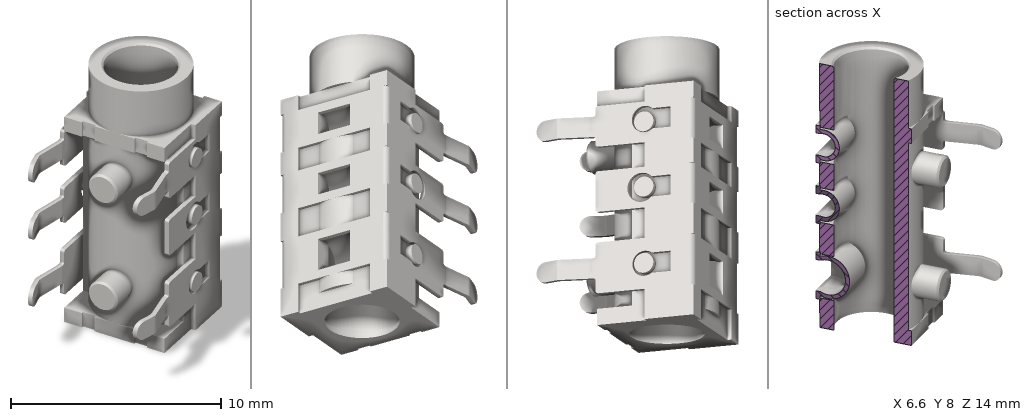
import cadquery as cq
import math

housing_width = 6.0
housing_depth = 5.0
total_height = 14
barrel_height = 2.5
box_height = total_height - barrel_height
barrel_radius = housing_depth / 2
bore_radius = 1.79
bore_chamfer = 0.1
flange_thickness = 0.8
pocket_rear_y = -0.71
front_groove_inner = 1.1
front_groove_width = 0.69
front_groove_depth = 0.11
rear_notch_width = 4.06
rear_notch_depth = 0.2

peg_radius = 0.8
peg_length = 1.3
peg_x = 0.1
peg_heights = (3.0, 9.0)
peg_chamfer = 0.1

stud_radius = 0.49
stud_projection = 0.1

sheet = 0.24
bend_radius = sheet
shoulder_radius = 0.14
leg_root_radius = 0.1
leg_width = 1.0
leg_length = 3.0
leg_bulge = 0.3
leg_straight = 0.22
leg_elbow = 1.72
leg_elbow_flat = 0.13
window_rear_y = 1.32
spring_width = 1.8
spring_margin = 0.2
slot_clearance = 0.1

contacts_data = (
    dict(
        z=2.75, height=2.5, right_leg=True,
        window_rise=0.0, hole_y=0.0, hole_radius=0.62, spring_y=0.73,
    ),
    dict(
        z=6.5, height=2.0, right_leg=False,
        window_rise=0.0, hole_y=-0.15, hole_radius=0.71, spring_y=1.26,
    ),
    dict(
        z=9.7, height=2.0, right_leg=True,
        window_rise=0.14, hole_y=0.0, hole_radius=0.65, spring_y=1.26,
    ),
)

half_width = housing_width / 2
half_depth = housing_depth / 2
inner_half_width = half_width - sheet
strap_inner_y = half_depth - sheet


def block(x_range, y_range, z_range):
    """Box between two limits on each axis."""
    limits = (x_range, y_range, z_range)
    size = [high - low for low, high in limits]
    corner = [low for low, high in limits]
    return cq.Workplane("XY").box(*size, centered=False).translate(tuple(corner))


def rod_along_x(radius, y, z, x_start, x_end):
    """Round rod parallel to X."""
    return cq.Workplane("YZ", origin=(x_start, y, z)).circle(radius).extrude(x_end - x_start)


def spring_half_height(contact):
    return contact["height"] / 2 - spring_margin


def housing_shell():
    """Stepped box with a round core at the front and a barrel on top."""
    rear = block((-half_width, half_width), (0, half_depth), (0, box_height))
    front = block((-inner_half_width, inner_half_width), (-half_depth, 0), (0, box_height))
    pocket = block(
        (-half_width, half_width),
        (-housing_depth, pocket_rear_y),
        (flange_thickness, box_height - flange_thickness),
    )
    for side in (-1, 1):
        inner_x = side * front_groove_inner
        outer_x = side * (front_groove_inner + front_groove_width)
        groove = block(
            sorted((inner_x, outer_x)),
            (-half_depth, -half_depth + front_groove_depth),
            (0, box_height),
        )
        front = front.cut(groove)
    core = cq.Workplane("XY").circle(barrel_radius).extrude(box_height - 2 * flange_thickness)
    core = core.translate((0, 0, flange_thickness))
    barrel = cq.Workplane("XY", origin=(0, 0, box_height)).circle(barrel_radius).extrude(barrel_height)
    rear_notch = block(
        (-rear_notch_width / 2, rear_notch_width / 2),
        (half_depth - rear_notch_depth, half_depth),
        (0, box_height),
    )
    return rear.cut(rear_notch).union(front.cut(pocket)).union(core).union(barrel)


def make_peg(z):
    """Chamfered round peg standing on the front of the core."""
    root_y = -(bore_radius + sheet)
    peg = cq.Workplane("XZ", origin=(peg_x, root_y, z)).circle(peg_radius)
    peg = peg.extrude(half_depth + peg_length + root_y)
    return peg.faces("<Y").chamfer(peg_chamfer)


def strap_channel(contact):
    """Recess around the sides and rear of the housing that receives a strap."""
    low = contact["z"] - contact["height"] / 2
    high = contact["z"] + contact["height"] / 2
    outside = block((-half_width, half_width), (0, half_depth), (low, high))
    inside = block((-inner_half_width, inner_half_width), (0, strap_inner_y), (low, high))
    return outside.cut(inside)


def spring_slot(contact):
    """Opening through the rear wall for a contact's spring."""
    half_height = spring_half_height(contact) + slot_clearance
    return block(
        (-spring_width / 2, spring_width / 2),
        (0, half_depth),
        (contact["z"] - half_height, contact["z"] + half_height),
    )


def make_bore():
    """Through bore with a chamfered mouth at the barrel end."""
    mouth_radius = bore_radius + bore_chamfer
    outline = (
        (0, 0),
        (bore_radius, 0),
        (bore_radius, total_height - bore_chamfer),
        (mouth_radius, total_height),
        (0, total_height),
    )
    return cq.Workplane("XZ").polyline(outline).close().revolve(360, (0, 0, 0), (0, 1, 0))


def make_housing():
    body = housing_shell()
    for z in peg_heights:
        body = body.union(make_peg(z))
    for contact in contacts_data:
        body = body.cut(strap_channel(contact)).cut(spring_slot(contact))
        for side in (-1, 1):
            root_x = side * (inner_half_width - sheet)
            end_x = side * (half_width + stud_projection)
            body = body.union(rod_along_x(stud_radius, 0, contact["z"], root_x, end_x))
    return body.cut(make_bore())


def strap_half_profile():
    """Plan outline of the +X half of a strap: back, bend, side and bowed leg."""
    front_y = -half_depth
    leg_points = (
        (half_width, front_y - leg_straight),
        (half_width + leg_bulge, front_y - leg_elbow),
        (half_width + leg_bulge, front_y - leg_elbow - leg_elbow_flat),
        (half_width, front_y - leg_length),
    )
    inner_leg_points = [(x - sheet, y) for x, y in reversed(leg_points)]
    bend_offset = bend_radius * (1 - math.sqrt(0.5))
    profile = (
        cq.Workplane("XY")
        .moveTo(0, half_depth)
        .lineTo(half_width - bend_radius, half_depth)
        .threePointArc(
            (half_width - bend_offset, half_depth - bend_offset),
            (half_width, half_depth - bend_radius),
        )
    )
    for point in (*leg_points, *inner_leg_points):
        profile = profile.lineTo(*point)
    return profile.lineTo(inner_half_width, strap_inner_y).lineTo(0, strap_inner_y).close()


def blank_outline(contact, has_leg):
    """Side outline of a strap, with its leg if any, as a plate across +X."""
    reach_x = half_width + leg_bulge
    plate = block(
        (0, reach_x),
        (-half_depth, half_depth),
        (-contact["height"] / 2, contact["height"] / 2),
    )
    plate = plate.faces("<Y").edges("|X").fillet(shoulder_radius)
    if has_leg:
        tip_y = -half_depth - leg_length + leg_width / 2
        leg = block((0, reach_x), (tip_y, 0), (-leg_width / 2, leg_width / 2))
        tip = rod_along_x(leg_width / 2, tip_y, 0, 0, reach_x)
        plate = plate.union(leg.union(tip))
        root = cq.selectors.BoxSelector(
            (-reach_x, -half_depth - leg_root_radius / 2, -leg_width),
            (2 * reach_x, -half_depth + leg_root_radius / 2, leg_width),
        )
        plate = plate.edges("|X").edges(root).fillet(leg_root_radius)
    return plate


def contact_window(contact):
    """Keyhole opening in the side of a strap that clears a rivet stud."""
    reach_x = half_width + leg_bulge
    rise = contact["window_rise"]
    window = block(
        (inner_half_width, reach_x),
        (contact["hole_y"], window_rear_y),
        (rise - leg_width / 2, rise + leg_width / 2),
    )
    hole = rod_along_x(contact["hole_radius"], contact["hole_y"], rise, inner_half_width, reach_x)
    return window.union(hole)


def spring_opening(contact):
    """Hole left in the back of a strap where the spring is pressed out of it."""
    half_height = spring_half_height(contact) - sheet
    return block(
        (-spring_width / 2, spring_width / 2),
        (0, half_depth),
        (-half_height, half_height),
    )


def make_spring(contact):
    """Strip arched from the back of a strap into the bore."""
    outer = spring_half_height(contact)
    inner = outer - sheet
    tip_y = contact["spring_y"]
    return (
        cq.Workplane("YZ", origin=(-spring_width / 2, 0, 0))
        .moveTo(half_depth, outer)
        .lineTo(strap_inner_y, outer)
        .threePointArc((tip_y, 0), (strap_inner_y, -outer))
        .lineTo(half_depth, -outer)
        .lineTo(half_depth, -inner)
        .lineTo(strap_inner_y, -inner)
        .threePointArc((tip_y + sheet, 0), (strap_inner_y, inner))
        .lineTo(half_depth, inner)
        .close()
        .extrude(spring_width)
    )


def make_contact(contact):
    sheet_half = strap_half_profile().extrude(contact["height"]).translate((0, 0, -contact["height"] / 2))
    window = contact_window(contact)
    left = sheet_half.intersect(blank_outline(contact, True)).cut(window).mirror("YZ")
    right = sheet_half.intersect(blank_outline(contact, contact["right_leg"])).cut(window)
    strap = left.union(right).cut(spring_opening(contact)).union(make_spring(contact))
    return strap.translate((0, 0, contact["z"]))


housing = make_housing()
contacts = [make_contact(contact) for contact in contacts_data]

result = cq.Compound.makeCompound([body.solids().val() for body in (housing, *contacts)])